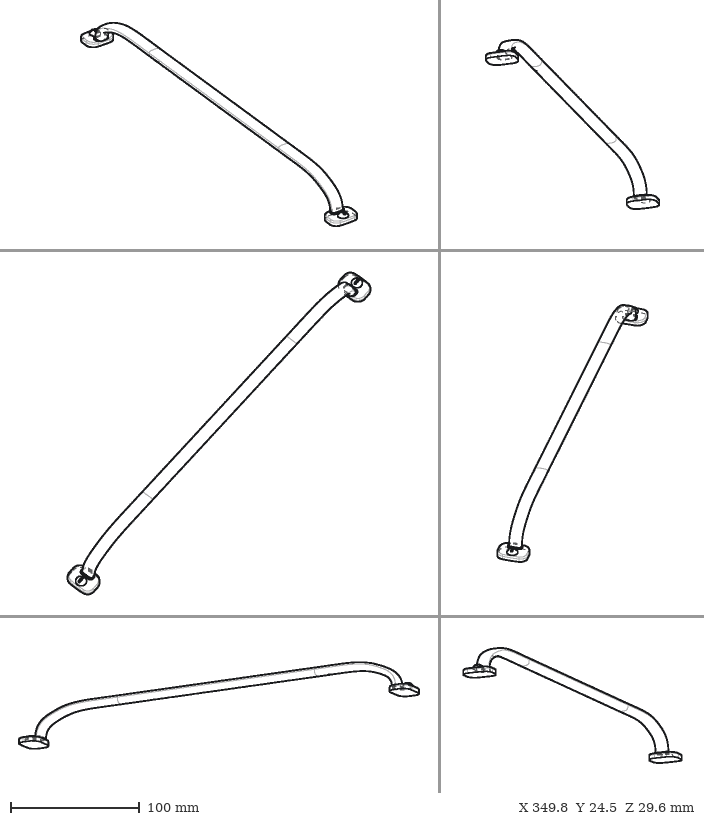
import cadquery as cq
import math

overall_length = 349.8
overall_height = 29.59

foot_length = 18.2
foot_width = 24.48
foot_height = 4.2
outer_side_bulge = 0.9
outer_corner_radius = 6.0
inner_corner_radius = 7.0
foot_rim_radius = 1.1

bar_foot_inset = 2.8
bar_width = 10.0
bar_thickness = 6.5
bar_seam_drop = 1.9
bezier_peak = 15 / 16
straight_length = 176.4

bend_reach = 41.0
bend_mid_angle = math.radians(45)
bend_crest_rise = 0.05

collar_length = 6.2
collar_width = 11.6
collar_height = 0.6
collar_corner_radius = 2.0

screw_diameter = 8.6
screw_height = 3.3
screw_inset = 5.9
slot_width = 1.2
slot_depth = 1.0

half_length = overall_length / 2
straight_end_x = straight_length / 2
foot_inner_x = half_length - foot_length
bar_foot_x = foot_inner_x + bar_foot_inset
collar_x = foot_inner_x + foot_rim_radius + collar_length / 2
bar_axis_z = overall_height - bend_crest_rise - bar_thickness / 2
bar_seam_y = bar_thickness / 2 - bar_seam_drop


def make_foot():
    """Plate with a crowned outward side, rounded corners and a rounded top rim."""
    shoulder_x = half_length - outer_side_bulge
    plate = (
        cq.Workplane("XY")
        .moveTo(foot_inner_x, -foot_width / 2)
        .lineTo(shoulder_x, -foot_width / 2)
        .threePointArc((half_length, 0), (shoulder_x, foot_width / 2))
        .lineTo(foot_inner_x, foot_width / 2)
        .close()
        .extrude(foot_height)
    )
    plate = plate.edges("|Z").edges("<X").fillet(inner_corner_radius)
    plate = plate.edges("|Z").edges(">X").fillet(outer_corner_radius)
    return plate.faces(">Z").edges().fillet(foot_rim_radius)


def make_collar():
    """Low pad on the foot that carries the end of the bar."""
    return (
        cq.Workplane("XY", origin=(collar_x, 0, foot_height / 2))
        .rect(collar_length, collar_width)
        .extrude(foot_height / 2 + collar_height)
        .edges("|Z")
        .fillet(collar_corner_radius)
    )


def make_screw_head():
    """Spherical cap with a slot along X."""
    screw_x = half_length - screw_inset
    top_z = foot_height + screw_height
    radius = screw_diameter / 2
    sphere_radius = (radius**2 + screw_height**2) / (2 * screw_height)
    cap = (
        cq.Workplane("XZ", origin=(screw_x, 0, 0))
        .moveTo(0, foot_height / 2)
        .lineTo(radius, foot_height / 2)
        .lineTo(radius, foot_height)
        .radiusArc((0, top_z), -sphere_radius)
        .close()
        .revolve(360, (0, 0), (0, 1))
    )
    slot = cq.Workplane("XY", origin=(screw_x, 0, top_z - slot_depth)).box(
        screw_diameter, slot_width, 2 * slot_depth, centered=(True, True, False)
    )
    return cap.cut(slot)


def bar_section(plane):
    """Closed bar section; local X runs along the width and local Y points to the bar's top.

    Its two halves are flat-topped Bezier curves that meet, upright, at the widest points.
    """
    side = bar_width / 2
    upper_y = bar_seam_y + bar_seam_drop / bezier_peak
    lower_y = bar_seam_y - (bar_thickness - bar_seam_drop) / bezier_peak
    right_seam = (side, bar_seam_y)
    left_seam = (-side, bar_seam_y)
    upper_corners = [(side, upper_y)] * 2 + [(-side, upper_y)] * 2
    lower_corners = [(-side, lower_y)] * 2 + [(side, lower_y)] * 2
    return (
        cq.Workplane(plane)
        .bezier([right_seam] + upper_corners + [left_seam])
        .bezier([left_seam] + lower_corners + [right_seam])
        .close()
    )


def make_bent_end():
    """Bar section swept along a spline from the foot to the straight middle.

    The spline passes through the middle of an elliptical bend.
    """
    bend_rise = bar_axis_z - foot_height
    mid_bend = (
        bar_foot_x - bend_reach * (1 - math.cos(bend_mid_angle)),
        foot_height + bend_rise * math.sin(bend_mid_angle),
    )
    path = cq.Workplane("XZ").spline(
        [(bar_foot_x, foot_height), mid_bend, (straight_end_x, bar_axis_z)],
        tangents=[(0, 1), (-1, 0)],
    )
    start_plane = cq.Plane(origin=(bar_foot_x, 0, foot_height), xDir=(0, -1, 0), normal=(0, 0, 1))
    return bar_section(start_plane).sweep(path)


def make_straight_middle():
    """Straight bar between the two bent ends."""
    plane = cq.Plane(origin=(-straight_end_x, 0, bar_axis_z), xDir=(0, 1, 0), normal=(1, 0, 0))
    return bar_section(plane).extrude(straight_length)


end = make_foot().union(make_collar()).union(make_screw_head()).union(make_bent_end())
handle = make_straight_middle().union(end).union(end.mirror("YZ"))
result = handle.solids()